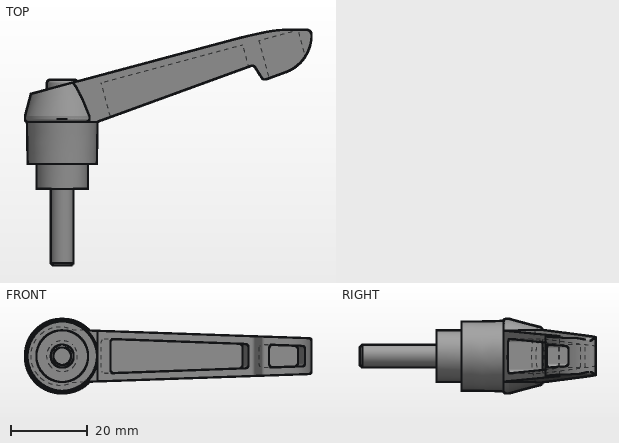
import cadquery as cq
import math


stud_diameter = 6.0
stud_length = 20.0
stud_chamfer = 0.7
collar_diameter = 13.5
collar_height = 6.5
hub_bottom_radius = 9.05
hub_top_radius = 9.25
hub_height = 11.0
hub_top_y = collar_height + hub_height

head_radius = 9.75
head_edge_height = 0.75
head_edge_radius = 0.75
band_height = 0.75
cone_base_y = hub_top_y + head_edge_height + band_height
cone_angle = 15.0

reach = 65.0
crown_y = 41.55
top_angle = 15.0
top_at_axis_y = 27.0
bend_start_x = 44.05
bend_radius = 150.0
bend_end_angle = 11.5
tip_top_fillet = 1.5
underside_angle = 20.0
underside_start_x = hub_top_radius
notch_root_x = 49.85
notch_lip_x = 52.4
notch_angle = 57.5
notch_fillet = 0.9
nose_radius = 10.4

half_width_at_axis = 6.95
side_taper = 2.0
tip_side_fillet = 0.8

floor_wall = 2.0
side_wall = 2.1
pocket_corner_radius = 1.0
long_pocket_span = (9.95, 48.15)
tip_pocket_span = (52.55, 63.1)

screw_radius = 4.05
screw_top_y = 28.5
screw_fillet = 1.0


def tan_deg(angle):
    return math.tan(math.radians(angle))


def top_y(x):
    """Height of the sloped top plane at x."""
    return top_at_axis_y + x * tan_deg(top_angle)


def underside_y(x):
    """Height of the arm's underside, between hub and notch."""
    return hub_top_y + (x - underside_start_x) * tan_deg(underside_angle)


def half_width(x):
    """Half of the arm's Z width at x."""
    return half_width_at_axis - x * tan_deg(side_taper)


lip_y = underside_y(notch_root_x) - (notch_lip_x - notch_root_x) * tan_deg(notch_angle)


def lip_line_y(x):
    """Height of the lip's underside, parallel to the arm's underside."""
    return lip_y + (x - notch_lip_x) * tan_deg(underside_angle)


def revolve_about_y(profile):
    """Close a half-profile and turn it into a solid about the Y axis."""
    return profile.close().revolve(360, (0, 0, 0), (0, 1, 0))


def make_base():
    """Stud, collar and hub."""
    stud_radius = stud_diameter / 2
    collar_radius = collar_diameter / 2
    return revolve_about_y(
        cq.Workplane("XY")
        .moveTo(0, -stud_length)
        .lineTo(stud_radius - stud_chamfer, -stud_length)
        .lineTo(stud_radius, -stud_length + stud_chamfer)
        .lineTo(stud_radius, 0)
        .lineTo(collar_radius, 0)
        .lineTo(collar_radius, collar_height)
        .lineTo(hub_bottom_radius, collar_height)
        .lineTo(hub_top_radius, hub_top_y)
        .lineTo(0, hub_top_y)
    )


def make_head():
    """Conical lever head, sliced by the sloped top plane."""
    cone_top_y = top_y(head_radius)
    cone_top_radius = head_radius - (cone_top_y - cone_base_y) * tan_deg(cone_angle)
    head = revolve_about_y(
        cq.Workplane("XY")
        .moveTo(0, hub_top_y)
        .lineTo(hub_top_radius, hub_top_y)
        .radiusArc((head_radius, hub_top_y + head_edge_height), -head_edge_radius)
        .lineTo(head_radius, cone_base_y)
        .lineTo(cone_top_radius, cone_top_y)
        .lineTo(0, cone_top_y)
    )
    below_top = (
        cq.Workplane("XY")
        .moveTo(-head_radius, 0)
        .lineTo(head_radius, 0)
        .lineTo(head_radius, top_y(head_radius))
        .lineTo(-head_radius, top_y(-head_radius))
        .close()
        .extrude(head_radius, both=True)
    )
    return head.intersect(below_top)


def make_arm_outline():
    """Arm profile extruded to a slab of constant thickness."""
    slope = math.radians(top_angle)
    bend_end = math.radians(bend_end_angle)
    bend_start = (bend_start_x, top_y(bend_start_x))
    crown_start = (
        bend_start[0] + bend_radius * (math.sin(slope) - math.sin(bend_end)),
        bend_start[1] + bend_radius * (math.cos(bend_end) - math.cos(slope)),
    )
    crown_radius = (crown_y - crown_start[1]) / (1 - math.cos(bend_end))
    crown_end = (crown_start[0] + crown_radius * math.sin(bend_end), crown_y)

    tip_top = (reach, crown_y)
    nose = (reach, lip_line_y(reach))
    lip = (notch_lip_x, lip_y)
    root = (notch_root_x, underside_y(notch_root_x))
    slab = (
        cq.Workplane("XY")
        .moveTo(0, hub_top_y)
        .lineTo(underside_start_x, hub_top_y)
        .lineTo(*root)
        .lineTo(*lip)
        .lineTo(*nose)
        .lineTo(*tip_top)
        .lineTo(*crown_end)
        .radiusArc(crown_start, -crown_radius)
        .radiusArc(bend_start, -bend_radius)
        .lineTo(0, top_at_axis_y)
        .close()
        .extrude(half_width_at_axis, both=True)
    )
    fillets = (
        (nose, nose_radius),
        (tip_top, tip_top_fillet),
        (lip, notch_fillet),
        (root, notch_fillet),
    )
    for corner, radius in fillets:
        nearest = cq.selectors.NearestToPointSelector((*corner, 0))
        slab = slab.edges("|Z").edges(nearest).fillet(radius)
    return slab


def make_arm_plan():
    """Tapered width of the arm, with its tip corners rounded."""
    return (
        cq.Workplane("XZ")
        .moveTo(0, -half_width(0))
        .lineTo(reach, -half_width(reach))
        .lineTo(reach, half_width(reach))
        .lineTo(0, half_width(0))
        .close()
        .extrude(-crown_y)
        .edges("|Y and >X")
        .fillet(tip_side_fillet)
    )


def make_pocket(span):
    """Tapered pocket cutter running square to the sloped top plane.

    It leaves one floor wall below that plane and is long enough to pass out
    through the underside.
    """
    slope = math.radians(top_angle)
    start, end = span
    start_half = half_width(start) - side_wall
    end_half = half_width(end) - side_wall
    top_plane = cq.Plane(
        origin=(0, top_at_axis_y, 0),
        xDir=(math.cos(slope), math.sin(slope), 0),
        normal=(-math.sin(slope), math.cos(slope), 0),
    )
    return (
        cq.Workplane(top_plane)
        .workplane(offset=-floor_wall)
        .moveTo(start, -start_half)
        .lineTo(end, -end_half)
        .lineTo(end, end_half)
        .lineTo(start, start_half)
        .close()
        .extrude(-top_at_axis_y)
        .edges(cq.selectors.ParallelDirSelector(top_plane.zDir))
        .fillet(pocket_corner_radius)
    )


def make_screw():
    """Round-rimmed cylindrical screw head, seated inside the lever head."""
    return revolve_about_y(
        cq.Workplane("XY")
        .moveTo(0, hub_top_y)
        .lineTo(screw_radius, hub_top_y)
        .lineTo(screw_radius, screw_top_y - screw_fillet)
        .radiusArc((screw_radius - screw_fillet, screw_top_y), -screw_fillet)
        .lineTo(0, screw_top_y)
    )


arm = make_arm_outline().intersect(make_arm_plan())
lever = make_head().union(arm)
for pocket_span in (long_pocket_span, tip_pocket_span):
    lever = lever.cut(make_pocket(pocket_span))
result = make_base().union(lever).union(make_screw())